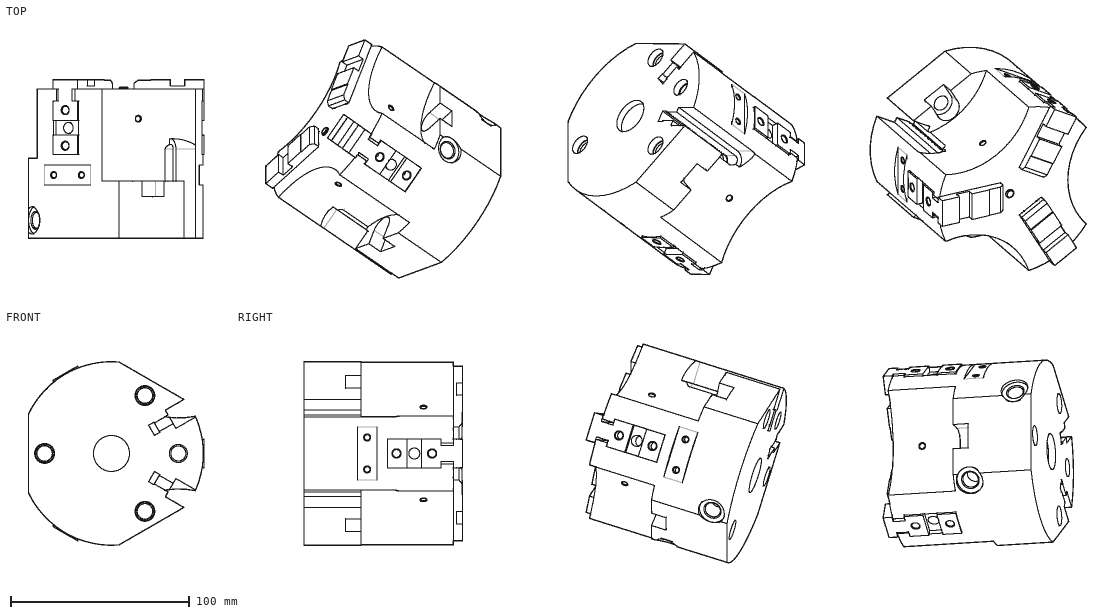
import cadquery as cq
import math


housing_radius = 51.5
housing_length = 83.8
cover_bottom_y = 76.9
flat_radial = 46.5

flat_angles = [60, 180, 300]
scallop_edge_across = 30.3
scallop_bottom_radial = 30.1
scallop_start = {60: 32.0, 180: 45.0, 300: 32.0}
scallop_hole_radius = 1.5
scallop_hole_depth = 8.2
scallop_hole_y = 67.0
relief_radius = 7.0
relief_length = 8.7

jaw_angles = [0, 120, 240]
jaw_inner_radial = 12.6
jaw_outer_radial = 51.9
jaw_half_width = 8.0
neck_half_width = 4.5
neck_slot_half_width = 6.0
jaw_bottom_y = 47.0
jaw_top_y = 89.0
nose_chamfer_length = 2.4
nose_chamfer_height = 1.8
nose_step_radial = 21.9
nose_step = 0.3
key_notch_inner = 33.1
key_notch_outer = 41.0
key_notch_depth = 3.5
jaw_groove_bottom_y = 57.9
jaw_groove_top_y = 65.9
jaw_groove_radial = 48.3
jaw_groove_hole_radius = 3.1
jaw_groove_hole_depth = 14.4
jaw_hole_radius = 2.2
jaw_hole_offset = 10.0
jaw_hole_depth = 8.2

seat_angles = [0, 120]
seat_radial = 49.3
seat_bottom_y = 30.0
seat_top_y = 41.0
seat_hole_across = 9.0
seat_hole_radius = 1.5
seat_hole_depth = 6.2

side_slot_angles = [30, 330]
side_slot_end_y = 49.9
side_slot_steps = [(26.0, 29.3, 3.3), (29.3, 38.3, 2.8), (38.3, housing_radius, 5.9)]

center_bore_radius = 10.1
center_bore_depth = 4.0
bolt_circle_radius = 37.5
bolt_hole_radius = 4.3
bolt_seat_radius = 5.6
bolt_countersink_radius = 5.1
bolt_seat_depth = 4.1
dowel_radius = 4.2
dowel_seat_radius = 5.0
dowel_depth = 12.4

air_ports = [(150, 10.1), (210, 36.0)]
port_seat_radius = 7.6
port_seat_radial = 49.2
port_radius = 4.4
port_depth = 12.4
port_mouth_chamfer = 0.6

button_radial = 6.8
button_radius = 2.5
button_height = 1.0
button_chamfer = 0.5

thread_chamfer = 0.4
drill_tip_angle = 118
drill_tip_ratio = 1 / math.tan(math.radians(drill_tip_angle / 2))
overshoot = 5.1


def turned(shape, angle):
    """Swing a shape about the main axis, from +X toward +Z."""
    return shape.rotate((0, 0, 0), (0, -1, 0), angle)


def face_plane(y):
    return cq.Workplane("XZ", origin=(0, y, 0))


def block(radial_from, radial_to, y_from, y_to, half_width):
    """Box centred on the XY plane."""
    size = (radial_to - radial_from, y_to - y_from, 2 * half_width)
    middle = ((radial_from + radial_to) / 2, (y_from + y_to) / 2, 0)
    return cq.Workplane("XY").box(*size).translate(middle)


def radial_hole(mouth_radial, depth, y, radius, across=0.0, mouth_chamfer=0.0):
    """Blind drilled hole along -X toward the axis, open beyond its mouth."""
    bottom = mouth_radial - depth
    profile = cq.Workplane("XY", origin=(0, y, across)).moveTo(mouth_radial + overshoot, 0)
    profile = profile.lineTo(mouth_radial + overshoot, radius + mouth_chamfer)
    if mouth_chamfer > 0:
        profile = profile.lineTo(mouth_radial, radius + mouth_chamfer)
    profile = profile.lineTo(mouth_radial - mouth_chamfer, radius).lineTo(bottom, radius)
    profile = profile.lineTo(bottom - radius * drill_tip_ratio, 0).close()
    return profile.revolve(360, (0, 0, 0), (1, 0, 0))


def scallop(start_y):
    edge_radial = math.sqrt(housing_radius**2 - scallop_edge_across**2)
    rise = edge_radial - scallop_bottom_radial
    scallop_radius = (rise**2 + scallop_edge_across**2) / (2 * rise)
    center_radial = scallop_bottom_radial + scallop_radius
    circle = face_plane(start_y).center(center_radial, 0).circle(scallop_radius)
    return circle.extrude(start_y - housing_length)


def bolt_head_relief(start_y):
    """Round pocket around the bolt hole, open to the flat and to the scallop."""
    bottom_y = start_y - relief_length
    circle = face_plane(bottom_y).center(bolt_circle_radius, 0).circle(relief_radius)
    pocket = circle.extrude(-relief_length)
    opening = block(bolt_circle_radius, housing_radius, bottom_y, start_y, relief_radius)
    return pocket.union(opening)


def flat_and_scallop(angle):
    start_y = scallop_start[angle]
    cut = block(flat_radial, housing_radius + overshoot, 0, start_y, housing_radius)
    cut = cut.union(scallop(start_y)).union(bolt_head_relief(start_y))
    hole = radial_hole(
        scallop_bottom_radial,
        scallop_hole_depth,
        scallop_hole_y,
        scallop_hole_radius,
        mouth_chamfer=thread_chamfer,
    )
    return turned(cut.union(hole), angle)


def jaw_slot(angle):
    outer = housing_radius + overshoot
    slot = block(jaw_inner_radial, outer, jaw_bottom_y, cover_bottom_y, jaw_half_width)
    neck = block(jaw_inner_radial, outer, cover_bottom_y, housing_length, neck_slot_half_width)
    return turned(slot.union(neck), angle)


def sensor_seat(angle):
    seat = block(seat_radial, housing_radius + overshoot, seat_bottom_y, seat_top_y, housing_radius)
    middle_y = (seat_bottom_y + seat_top_y) / 2
    for across in (-seat_hole_across, seat_hole_across):
        hole = radial_hole(
            seat_radial, seat_hole_depth, middle_y, seat_hole_radius, across, thread_chamfer
        )
        seat = seat.union(hole)
    return turned(seat, angle)


def side_slot(angle):
    slot = cq.Workplane("XY")
    for inner, outer, half_width in side_slot_steps:
        slot = slot.union(block(inner, outer, 0, side_slot_end_y, half_width))
        end = cq.Workplane("YZ", origin=(inner, side_slot_end_y, 0)).circle(half_width)
        slot = slot.union(end.extrude(outer - inner))
    return turned(slot, angle)


def air_port(angle, y):
    seat = cq.Workplane("YZ", origin=(port_seat_radial, y, 0)).circle(port_seat_radius).extrude(overshoot)
    bore = radial_hole(port_seat_radial, port_depth, y, port_radius, mouth_chamfer=port_mouth_chamfer)
    return turned(seat.union(bore), angle)


def bolt_hole(angle):
    """Counterbored through hole, countersunk 45 degrees at the bottom of its seat."""
    profile = [
        (0, 0),
        (bolt_seat_radius, 0),
        (bolt_seat_radius, bolt_seat_depth),
        (bolt_countersink_radius, bolt_seat_depth),
        (bolt_hole_radius, bolt_seat_depth + bolt_countersink_radius - bolt_hole_radius),
        (bolt_hole_radius, housing_length),
        (0, housing_length),
    ]
    hole = cq.Workplane("XY").polyline(profile).close().revolve(360, (0, 0, 0), (0, 1, 0))
    return turned(hole.translate((bolt_circle_radius, 0, 0)), angle)


def dowel_hole():
    tip_y = dowel_depth + dowel_radius * drill_tip_ratio
    profile = [
        (0, 0),
        (dowel_seat_radius, 0),
        (dowel_seat_radius, bolt_seat_depth),
        (dowel_radius, bolt_seat_depth),
        (dowel_radius, dowel_depth),
        (0, tip_y),
    ]
    hole = cq.Workplane("XY").polyline(profile).close().revolve(360, (0, 0, 0), (0, 1, 0))
    return hole.translate((bolt_circle_radius, 0, 0))


def button():
    disc = face_plane(housing_length).center(button_radial, 0).circle(button_radius).extrude(-button_height)
    return disc.faces(">Y").chamfer(button_chamfer)


def make_housing():
    housing = face_plane(0).circle(housing_radius).extrude(-housing_length)
    for angle in flat_angles:
        housing = housing.cut(flat_and_scallop(angle))
        housing = housing.cut(bolt_hole(angle))
    for angle in jaw_angles:
        housing = housing.cut(jaw_slot(angle))
    for angle in seat_angles:
        housing = housing.cut(sensor_seat(angle))
    for angle in side_slot_angles:
        housing = housing.cut(side_slot(angle))
    for angle, y in air_ports:
        housing = housing.cut(air_port(angle, y))
    housing = housing.cut(dowel_hole())
    housing = housing.cut(face_plane(0).circle(center_bore_radius).extrude(-center_bore_depth))
    return housing.union(button())


def make_jaw(angle):
    nose_y = jaw_top_y - nose_step
    head_profile = [
        (jaw_inner_radial, housing_length),
        (jaw_inner_radial, nose_y - nose_chamfer_height),
        (jaw_inner_radial + nose_chamfer_length, nose_y),
        (nose_step_radial, nose_y),
        (nose_step_radial + nose_step, jaw_top_y),
        (jaw_outer_radial, jaw_top_y),
        (jaw_outer_radial, housing_length),
    ]
    head = cq.Workplane("XY").polyline(head_profile).close().extrude(jaw_half_width, both=True)
    neck = block(jaw_inner_radial, jaw_outer_radial, cover_bottom_y, housing_length, neck_half_width)
    base = block(jaw_inner_radial, jaw_outer_radial, jaw_bottom_y, cover_bottom_y, jaw_half_width)
    jaw = head.union(neck).union(base)

    notch_bottom_y = jaw_top_y - key_notch_depth
    jaw = jaw.cut(block(key_notch_inner, key_notch_outer, notch_bottom_y, jaw_top_y, jaw_half_width))
    jaw = jaw.cut(
        block(jaw_groove_radial, jaw_outer_radial, jaw_groove_bottom_y, jaw_groove_top_y, jaw_half_width)
    )
    groove_y = (jaw_groove_bottom_y + jaw_groove_top_y) / 2
    jaw = jaw.cut(radial_hole(jaw_groove_radial, jaw_groove_hole_depth, groove_y, jaw_groove_hole_radius))
    for side in (-1, 1):
        hole_y = groove_y + side * jaw_hole_offset
        hole = radial_hole(
            jaw_outer_radial, jaw_hole_depth, hole_y, jaw_hole_radius, mouth_chamfer=thread_chamfer
        )
        jaw = jaw.cut(hole)
    return turned(jaw, angle)


housing = make_housing()
jaws = [make_jaw(angle) for angle in jaw_angles]

result = cq.Compound.makeCompound([housing.val(), *[jaw.val() for jaw in jaws]])